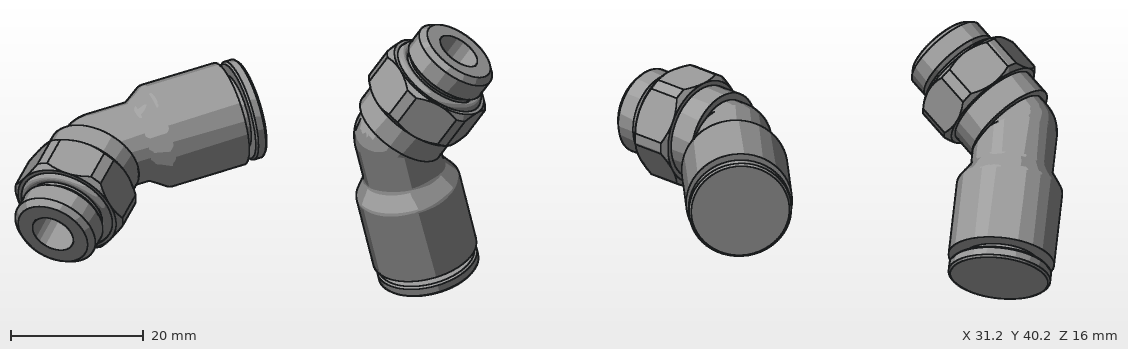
import cadquery as cq
import math

thread_top = 3.8
nut_bottom = 5.5
nut_top = 12.2
body_top = 16.2
elbow_height = 17.77

thread_radius = 6.55
thread_chamfer = 0.9
relief_radius = thread_radius - thread_chamfer
bore_radius = 3.35
bore_depth = nut_top
seal_ring_radius = 6.6
seal_section_radius = 0.8
seal_height = nut_bottom

nut_across_flats = 16.0
nut_corner_radius = 8.75
nut_chamfer = 0.75
body_radius = 7.28
neck_radius = 6.2

bend_angle = 45
socket_radius = nut_across_flats / 2
cone_start = 6.45
cone_end = 9.2
cone_fillet = 1.0
socket_end = 21.25

collar_radius = 5.63
flange_start = 22.5
flange_end = 24.33
flange_radius = 7.72
flange_chamfer = 0.32


def cylinder(radius, start, end):
    """Cylinder around the Y axis between two heights."""
    base = cq.Workplane("XZ", origin=(0, start, 0))
    return base.circle(radius).extrude(start - end)


def make_stub():
    """Threaded stub with a chamfered end and a tapered run-out into the relief."""
    taper_top = thread_top + thread_chamfer
    thread = cylinder(thread_radius, 0, taper_top).edges().chamfer(thread_chamfer)
    return thread.union(cylinder(relief_radius, thread_top, nut_bottom))


def make_seal():
    """O-ring partly sunk into the underside of the nut."""
    section = cq.Workplane("XY").center(seal_ring_radius, seal_height).circle(seal_section_radius)
    return section.revolve(360, (-seal_ring_radius, 0), (-seal_ring_radius, 1))


def make_nut():
    """Hexagon with corners along X, trimmed to a chamfered round blank."""
    across_corners = nut_across_flats / math.cos(math.pi / 6)
    base = cq.Workplane("XZ", origin=(0, nut_bottom, 0))
    hexagon = base.polygon(6, across_corners).extrude(nut_bottom - nut_top)
    blank = cylinder(nut_corner_radius, nut_bottom, nut_top).edges().chamfer(nut_chamfer)
    return hexagon.intersect(blank)


def make_elbow():
    """Round body and neck, with a ball wedge filling the outside of the bend."""
    body = cylinder(body_radius, nut_top, body_top)
    neck = cylinder(neck_radius, body_top, elbow_height)
    half_disc = (
        cq.Workplane("XZ", origin=(0, elbow_height, 0))
        .moveTo(0, -neck_radius)
        .threePointArc((-neck_radius, 0), (0, neck_radius))
        .close()
    )
    ball_wedge = half_disc.revolve(bend_angle, (0, 0.4), (0, -0.4))
    return body.union(neck).union(ball_wedge)


def make_socket():
    """Inclined neck, cone, tube socket and release collar turned about one axis."""
    profile = [
        (0, 0),
        (neck_radius, 0),
        (neck_radius, cone_start),
        (socket_radius, cone_end),
        (socket_radius, socket_end),
        (0, socket_end),
    ]
    socket = cq.Workplane("XY").polyline(profile).close().revolve(360, (0, 0), (0, 1))
    cone_edges = cq.selectors.BoxSelector(
        (-socket_radius, cone_start - cone_fillet, -socket_radius),
        (socket_radius, cone_end + cone_fillet, socket_radius),
    )
    socket = socket.edges("%CIRCLE").edges(cone_edges).fillet(cone_fillet)
    collar = cylinder(collar_radius, socket_end, flange_start)
    flange = cylinder(flange_radius, flange_start, flange_end).edges("%CIRCLE").chamfer(flange_chamfer)
    upright = socket.union(collar).union(flange)
    inclined = upright.rotate((0, 0, 0), (0, 0, 1), -bend_angle)
    return inclined.translate((0, elbow_height, 0))


result = make_stub().union(make_nut()).union(make_seal())
result = result.union(make_elbow()).union(make_socket())
result = result.cut(cylinder(bore_radius, 0, bore_depth))